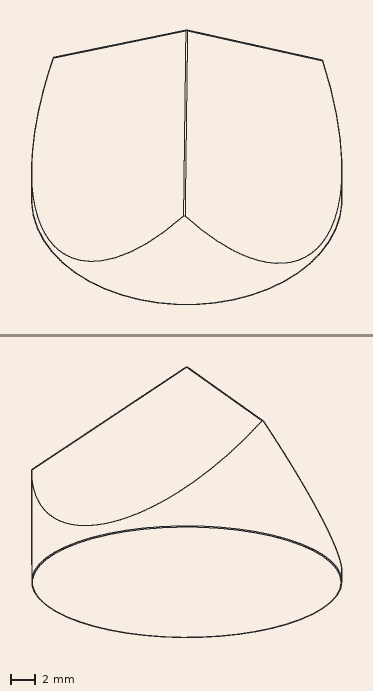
import cadquery as cq
import math

diameter = 25.4
height = 18.87
edge_direction = 101.7
ridge_flat_width = 0.142
base_chamfer = 0.08

radius = diameter / 2
ridge_slope = 1 / math.sqrt(2)
ridge_flat_depth = ridge_flat_width / 2
apex_height = height + ridge_flat_depth * math.hypot(1, ridge_slope)


def space_below(slope, peak, heading):
    """Large wedge under a plane through the axis at peak, falling along heading."""
    reach = diameter
    wedge = (
        cq.Workplane("XZ")
        .polyline([
            (-reach, -reach),
            (reach, -reach),
            (reach, peak - slope * reach),
            (-reach, peak + slope * reach),
        ])
        .close()
        .extrude(reach, both=True)
    )
    return wedge.rotate((0, 0, 0), (0, 0, 1), heading)


result = cq.Workplane("XY").circle(radius).extrude(height).faces("<Z").chamfer(base_chamfer)

face_slope = math.sqrt(2)
for turn in (0, 120, 240):
    ridge_heading = edge_direction + turn
    result = result.intersect(space_below(face_slope, apex_height, ridge_heading + 60))
    result = result.intersect(space_below(ridge_slope, height, ridge_heading))